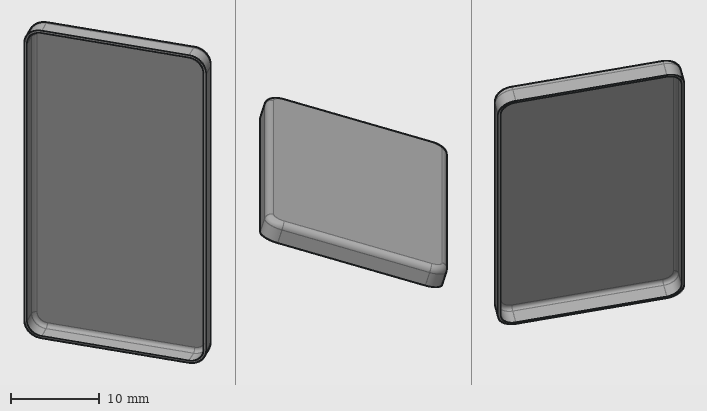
import cadquery as cq

width = 21.5
depth = 2.5
height = 40.9

wall = 0.33
corner_radius = 2.05
back_edge_radius = 0.8

cavity_corner_radius = corner_radius - wall
cavity_edge_radius = back_edge_radius - wall


def rounded_slab(slab_width, slab_height, slab_depth, corner, back_edge):
    """Slab centred on the origin in X and Z, from y = 0 to y = slab_depth, with a rounded +Y rim."""
    slab = cq.Workplane("XY").box(slab_width, slab_depth, slab_height, centered=(True, False, True))
    return slab.edges("|Y").fillet(corner).faces(">Y").edges().fillet(back_edge)


shell = rounded_slab(width, height, depth, corner_radius, back_edge_radius)
cavity = rounded_slab(
    width - 2 * wall,
    height - 2 * wall,
    depth - wall,
    cavity_corner_radius,
    cavity_edge_radius,
)

result = shell.cut(cavity)